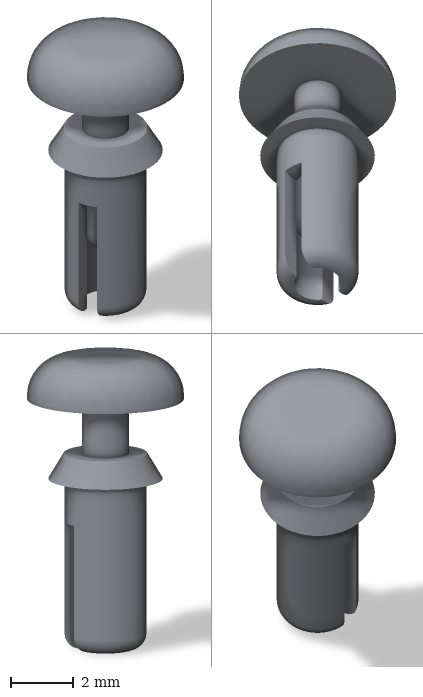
import cadquery as cq
import math

total_height = 9.5

head_diameter = 5.0
head_height = 1.39
head_rim_height = 0.095
stem_diameter = 1.49
stem_tip_z = 2.02

sleeve_diameter = 2.6
bore_diameter = 1.5
sleeve_end_radius = 0.5
collar_top_diameter = 2.66
collar_bottom_diameter = 3.65
collar_bottom_z = 5.52
collar_top_z = 6.35
slot_width = 0.66
slot_top_z = 4.14

head_radius = head_diameter / 2
head_bottom_z = total_height - head_height
dome_start_z = head_bottom_z + head_rim_height
dome_radius = total_height - dome_start_z
head_flat_radius = head_radius - dome_radius
stem_radius = stem_diameter / 2
stem_round_z = stem_tip_z + stem_radius
sleeve_radius = sleeve_diameter / 2
diagonal = math.sqrt(0.5)


def make_plunger():
    """Revolve the half outline, in radius and height, around Z."""
    dome_middle = (
        head_flat_radius + dome_radius * diagonal,
        dome_start_z + dome_radius * diagonal,
    )
    tip_middle = (stem_radius * diagonal, stem_round_z - stem_radius * diagonal)
    outline = (
        cq.Workplane("XZ")
        .moveTo(0, stem_tip_z)
        .threePointArc(tip_middle, (stem_radius, stem_round_z))
        .lineTo(stem_radius, head_bottom_z)
        .lineTo(head_radius, head_bottom_z)
        .lineTo(head_radius, dome_start_z)
        .threePointArc(dome_middle, (head_flat_radius, total_height))
        .lineTo(0, total_height)
        .close()
    )
    return outline.revolve(360, (0, 0), (0, 1))


def make_sleeve():
    """Rounded tube with a collar, split across X by a slot running along Y."""
    tube = (
        cq.Workplane("XY")
        .circle(sleeve_radius)
        .extrude(collar_top_z)
        .faces("<Z")
        .edges()
        .fillet(sleeve_end_radius)
    )
    collar = (
        cq.Workplane("XZ")
        .moveTo(0, collar_bottom_z)
        .lineTo(collar_bottom_diameter / 2, collar_bottom_z)
        .lineTo(collar_top_diameter / 2, collar_top_z)
        .lineTo(0, collar_top_z)
        .close()
        .revolve(360, (0, 0), (0, 1))
    )
    bore = cq.Workplane("XY").circle(bore_diameter / 2).extrude(collar_top_z)
    slot = cq.Workplane("XY").rect(slot_width, collar_bottom_diameter).extrude(slot_top_z)
    return tube.union(collar).cut(bore).cut(slot)


plunger = make_plunger()
sleeve = make_sleeve()

result = cq.Compound.makeCompound([plunger.val(), sleeve.val()])